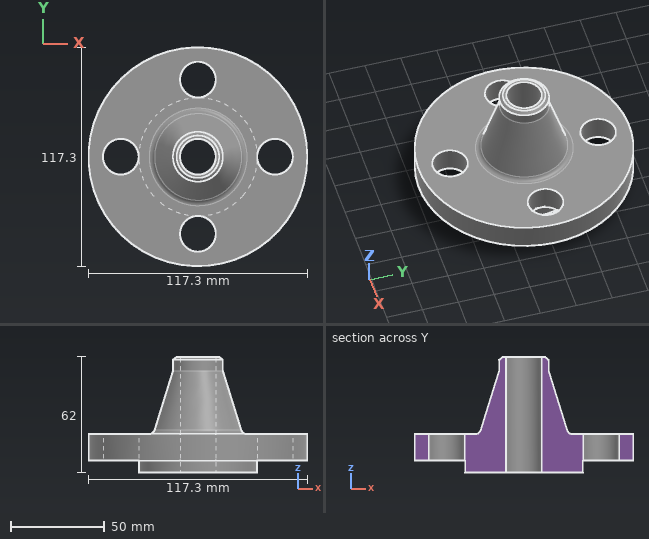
import cadquery as cq

flange_diameter = 117.3
flange_thickness = 14.3
face_diameter = 63.5
face_height = 6.3

total_height = 62.0
neck_diameter = 26.7
neck_length = 7.4
cone_base_diameter = 47.9
hub_fillet_radius = 3.0
bevel_height = 1.5
land_diameter = 22.8

bore_diameter = 19.0
bolt_hole_diameter = 19.0
bolt_circle_diameter = 82.6
bolt_count = 4

flange_top = face_height + flange_thickness
neck_bottom = total_height - neck_length


def make_body():
    """Revolve the half section of the plate, raised face and tapered hub about Z."""
    section = (
        cq.Workplane("XZ")
        .lineTo(face_diameter / 2, 0)
        .lineTo(face_diameter / 2, face_height)
        .lineTo(flange_diameter / 2, face_height)
        .lineTo(flange_diameter / 2, flange_top)
        .lineTo(cone_base_diameter / 2, flange_top)
        .lineTo(neck_diameter / 2, neck_bottom)
        .lineTo(neck_diameter / 2, total_height - bevel_height)
        .lineTo(land_diameter / 2, total_height)
        .lineTo(0, total_height)
        .close()
    )
    return section.revolve(360, (0, 0, 0), (0, 1, 0))


def fillet_hub_root(body):
    """Round the inside corner where the cone meets the top of the plate."""
    reach = cone_base_diameter / 2 + hub_fillet_radius
    root = cq.selectors.BoxSelector(
        (-reach, -reach, flange_top - hub_fillet_radius),
        (reach, reach, flange_top + hub_fillet_radius),
        boundingbox=True,
    )
    return body.edges(root).fillet(hub_fillet_radius)


def cut_holes(body):
    """Cut the central bore and the bolt holes right through."""
    bore = cq.Workplane("XY").circle(bore_diameter / 2).extrude(total_height)
    bolt_holes = (
        cq.Workplane("XY")
        .polarArray(bolt_circle_diameter / 2, 0, 360, bolt_count)
        .circle(bolt_hole_diameter / 2)
        .extrude(total_height)
    )
    return body.cut(bore).cut(bolt_holes)


result = cut_holes(fillet_hub_root(make_body()))